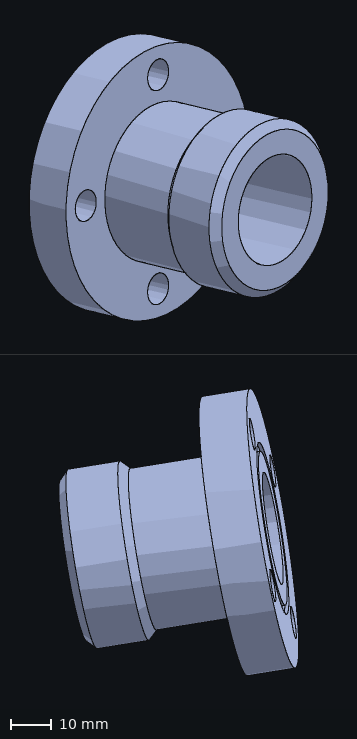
import cadquery as cq

total_length = 50.0
flange_diameter = 70.0
flange_thickness = 12.05
neck_diameter = 40.5
bore_diameter = 28.0

collar_diameter = 45.0
collar_length = 17.5
collar_bevel = (collar_diameter - neck_diameter) / 2

groove_outer_diameter = 43.0
groove_inner_diameter = 38.5
groove_depth = 1.0

bolt_hole_count = 4
bolt_hole_diameter = 8.0
bolt_circle_diameter = 55.0


def cylinder(diameter, length, start=0.0):
    """Cylinder along +X, beginning at x = start."""
    return cq.Workplane("YZ", origin=(start, 0, 0)).circle(diameter / 2).extrude(length)


def ring_groove():
    outer = cylinder(groove_outer_diameter, groove_depth)
    return outer.cut(cylinder(groove_inner_diameter, groove_depth))


def bolt_holes():
    return (
        cq.Workplane("YZ")
        .polarArray(bolt_circle_diameter / 2, 0, 360, bolt_hole_count)
        .circle(bolt_hole_diameter / 2)
        .extrude(flange_thickness)
    )


flange = cylinder(flange_diameter, flange_thickness)
neck = cylinder(neck_diameter, total_length)
collar = cylinder(collar_diameter, collar_length, total_length - collar_length)
collar = collar.faces("<X or >X").edges().chamfer(collar_bevel)

result = flange.union(neck).union(collar)
result = result.cut(cylinder(bore_diameter, total_length))
result = result.cut(ring_groove()).cut(bolt_holes())